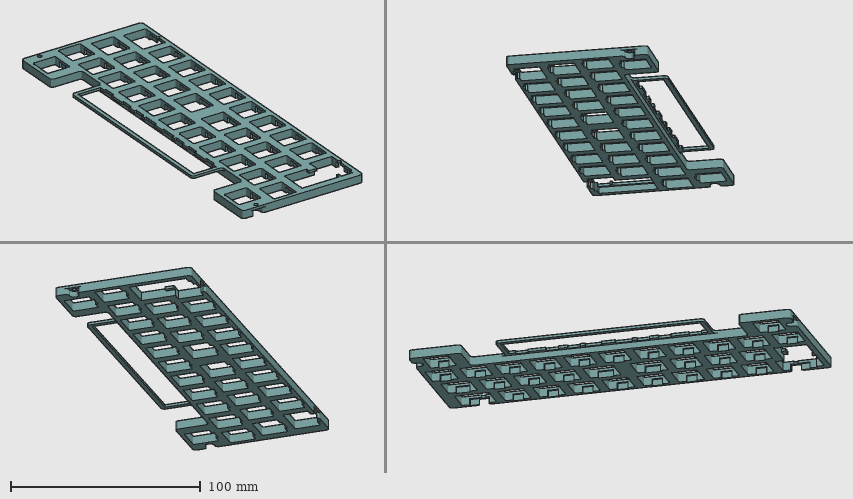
import cadquery as cq

LENGTH = 209.8
DEPTH = 76.4
HEIGHT = 4.8
TOP_SKIN = 1.5
PITCH_X = LENGTH / 11
PITCH_Y = DEPTH / 4
CORNER_RADIUS = 2.0
UNDERCUT = HEIGHT - TOP_SKIN

OPENING = 14.0
OPENING_RADIUS = 0.6
ROW_1, ROW_2, ROW_3, ROW_4 = (PITCH_Y * offset for offset in (1.5, 0.5, -0.5, -1.5))
HALF = OPENING / 2

CLIP_WIDTH = 5.9
CLIP_DEPTH = 1.3
CLIP_MARGIN = (OPENING - CLIP_WIDTH) / 2

FRAME_HALF = 3 * PITCH_X
GAP_HALF = 4 * PITCH_X
GAP_REAR = -PITCH_Y
FRAME_RIM = 2.5
SPACE_NOTCH_WIDTH = 7.0
SPACE_NOTCH_DEPTH = CLIP_DEPTH
SPACE_NOTCH_CELLS = (0.375, 0.5, 1.0, 1.625, 2.5)

SCREW_DIAMETER = 2.3
SCREW_INSET = 2.5
SLOT_RADIUS = 2.5
SLOT_FLARE = 1.9
SIDE_SCREW_Y = -28.1
REAR_SCREW_X = 4.5 * PITCH_X

ROW_2_OUTER = 99.5
ROW_2_INNER = 4.6
ENTER_RIGHT = 100.3
ENTER_STEP = 1.3
REAR_STRIP_END = 4.5 * PITCH_X
TAB_REAR = 27.5
TAB_WIDTH = 1.3
TAB_FILLET = 1.0
ENTER_UNDERCUT = 1.5


def block(x_min, x_max, y_min, y_max, z_max=HEIGHT):
    """Box standing on the underside, given by its limits."""
    return cq.Workplane("XY").box(
        x_max - x_min, y_max - y_min, z_max, centered=False
    ).translate((x_min, y_min, 0))


def clip_recess(x_min, x_max, rear):
    """Hollow below the skin that reaches past the rear wall of an opening."""
    return block(x_min, x_max, rear - CLIP_DEPTH, rear + CLIP_DEPTH, UNDERCUT)


def switch_opening(x_min, x_max, row):
    """Opening through the plate with its clip recess."""
    opening = block(x_min, x_max, row - HALF, row + HALF).edges("|Z").fillet(OPENING_RADIUS)
    return opening.union(clip_recess(x_min + CLIP_MARGIN, x_max - CLIP_MARGIN, row + HALF))


def plain_opening(x, row):
    return switch_opening(x - HALF, x + HALF, row)


def outline():
    """Solid slab with a square gap on each side of the space bar frame."""
    front = -DEPTH / 2
    half_outline = [
        (FRAME_HALF, front),
        (FRAME_HALF, GAP_REAR),
        (GAP_HALF, GAP_REAR),
        (GAP_HALF, front),
        (LENGTH / 2, front),
        (LENGTH / 2, DEPTH / 2),
    ]
    mirrored = [(-x, y) for x, y in reversed(half_outline)]
    slab = cq.Workplane("XY").polyline(half_outline + mirrored).close().extrude(HEIGHT)
    return slab.edges("|Z").fillet(CORNER_RADIUS)


def space_bar():
    """Long opening in the frame, its clip notches and the hollow under the frame."""
    rear = ROW_4 + HALF
    inner = FRAME_HALF - FRAME_RIM
    half_notch = SPACE_NOTCH_WIDTH / 2
    cutter = block(-inner, inner, ROW_4 - HALF, rear)
    for cells in SPACE_NOTCH_CELLS:
        for x in (-cells * PITCH_X, cells * PITCH_X):
            notch = block(x - half_notch, x + half_notch, ROW_4, rear + SPACE_NOTCH_DEPTH)
            cutter = cutter.union(notch)
    under = FRAME_HALF + CORNER_RADIUS
    return cutter.union(block(-under, under, -DEPTH / 2, GAP_REAR, UNDERCUT))


def enter_opening():
    """Stepped opening across the two rear rows, with a skin-deep tab on its right wall."""
    left_1 = 4.5 * PITCH_X - HALF
    left_2 = 4.75 * PITCH_X - HALF
    right_1 = 4.75 * PITCH_X + HALF
    rear = ROW_1 + HALF
    points = [
        (left_1, rear),
        (right_1, rear),
        (right_1, rear - ENTER_STEP),
        (ENTER_RIGHT, rear - ENTER_STEP),
        (ENTER_RIGHT, TAB_REAR),
        (right_1, TAB_REAR),
        (right_1, TAB_REAR - TAB_WIDTH),
        (ENTER_RIGHT, TAB_REAR - TAB_WIDTH),
        (ENTER_RIGHT, ROW_2 - HALF),
        (left_2, ROW_2 - HALF),
        (left_2, ROW_2 + HALF),
        (REAR_STRIP_END, ROW_2 + HALF),
        (REAR_STRIP_END, ROW_1 - HALF),
        (left_1, ROW_1 - HALF),
    ]
    opening = cq.Workplane("XY").polyline(points).close().extrude(HEIGHT)
    tab_root = cq.selectors.NearestToPointSelector(
        (ENTER_RIGHT, TAB_REAR - TAB_WIDTH, HEIGHT / 2)
    )
    opening = opening.edges(tab_root).fillet(TAB_FILLET)
    under_right = ENTER_RIGHT + ENTER_UNDERCUT
    below_skin = block(left_2, under_right, ROW_2 - HALF, rear - ENTER_STEP, UNDERCUT)
    opening = opening.union(below_skin)
    return opening.union(clip_recess(left_1 + CLIP_MARGIN, right_1 - CLIP_MARGIN, rear))


def screw_cutter():
    """Screw hole at the origin with a flared slot that opens toward +X below the skin."""
    hole = cq.Workplane("XY").circle(SCREW_DIAMETER / 2).extrude(HEIGHT)
    slot = cq.Workplane("XY").circle(SLOT_RADIUS).extrude(UNDERCUT)
    slot = slot.union(block(0, SCREW_INSET, -SLOT_RADIUS, SLOT_RADIUS, UNDERCUT))
    mouth = SLOT_RADIUS + SLOT_FLARE
    flare = block(SCREW_INSET - SLOT_FLARE, SCREW_INSET, -mouth, mouth, UNDERCUT)
    rounds = (
        cq.Workplane("XY")
        .pushPoints([(SCREW_INSET - SLOT_FLARE, y) for y in (-mouth, mouth)])
        .circle(SLOT_FLARE)
        .extrude(UNDERCUT)
    )
    return hole.union(slot).union(flare.cut(rounds))


result = outline().cut(space_bar()).cut(enter_opening())

result = result.cut(switch_opening(-4.75 * PITCH_X - HALF, -4.5 * PITCH_X + HALF, ROW_1))
for key in range(8):
    result = result.cut(plain_opening((key - 3.5) * PITCH_X, ROW_1))

result = result.cut(switch_opening(-ROW_2_OUTER, -4.75 * PITCH_X + HALF, ROW_2))
middle_outer = 0.75 * PITCH_X + HALF
result = result.cut(switch_opening(-middle_outer, -ROW_2_INNER, ROW_2))
result = result.cut(switch_opening(ROW_2_INNER, middle_outer, ROW_2))
for cells in (1.75, 2.75, 3.75):
    result = result.cut(plain_opening(-cells * PITCH_X, ROW_2))
    result = result.cut(plain_opening(cells * PITCH_X, ROW_2))

for key in range(11):
    result = result.cut(plain_opening((key - 5) * PITCH_X, ROW_3))

for x in (-4.75 * PITCH_X, 4.75 * PITCH_X):
    result = result.cut(plain_opening(x, ROW_4))

side_x = LENGTH / 2 - SCREW_INSET
rear_y = DEPTH / 2 - SCREW_INSET
for x, y, turn in (
    (side_x, SIDE_SCREW_Y, 0),
    (-side_x, SIDE_SCREW_Y, 180),
    (REAR_SCREW_X, rear_y, 90),
    (-REAR_SCREW_X, rear_y, 90),
):
    cutter = screw_cutter().rotate((0, 0, 0), (0, 0, 1), turn).translate((x, y, 0))
    result = result.cut(cutter)